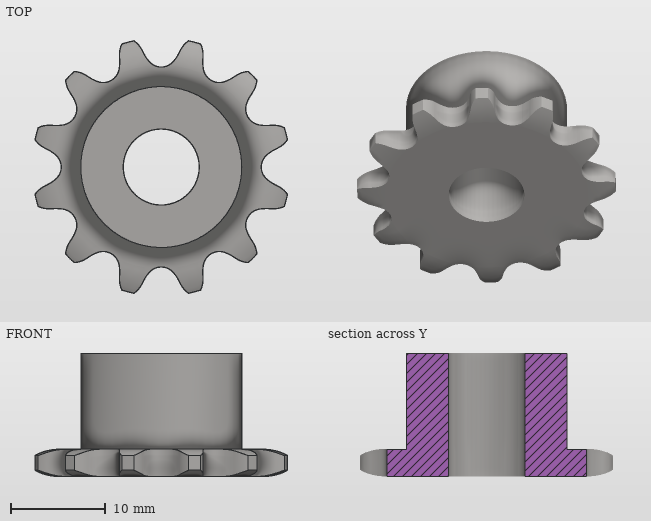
import cadquery as cq
import math


pitch = 6.35
roller_diameter = 3.302
tooth_count = 12
seat_clearance = 0.0381

tip_diameter = 27.3
plate_thickness = 2.9
overall_height = 13.0
hub_diameter = 17.0
bore_diameter = 8.0

side_round_radius = 6.5
side_round_start_diameter = 21.5

half_step = 180 / tooth_count
pitch_radius = pitch / 2 / math.sin(math.radians(half_step))
seat_radius = 0.5025 * roller_diameter + seat_clearance
seat_end_angle = 35 + 60 / tooth_count
working_sweep = 18 - 56 / tooth_count
working_offset = 0.8 * roller_diameter
working_radius = seat_radius + working_offset
topping_slope = 17 - 64 / tooth_count
topping_offset = 1.4 * roller_diameter
topping_radius = (
    working_offset * math.cos(math.radians(working_sweep))
    + topping_offset * math.cos(math.radians(topping_slope))
    - working_radius
)
point_height = math.sqrt(topping_radius**2 - (topping_offset - pitch / 2) ** 2)
point_radius = pitch_radius * math.cos(math.radians(half_step)) + point_height


def polar(center, radius, angle):
    """Point at a radius and angle (degrees from +X) about a center."""
    a = math.radians(angle)
    return (center[0] + radius * math.cos(a), center[1] + radius * math.sin(a))


def flank_points():
    """Right flank of the gap on +Y, from the gap bottom up to the tooth point."""
    seat_center = (0, pitch_radius)
    working_center = polar(seat_center, working_offset, 180 - seat_end_angle)
    topping_center = polar(seat_center, topping_offset, -half_step)

    working_start = -seat_end_angle
    working_end = working_start + working_sweep
    topping_start = working_end + 180
    point = polar((0, 0), point_radius, 90 - half_step)
    topping_end = math.degrees(math.atan2(point[1] - topping_center[1], point[0] - topping_center[0]))

    return {
        "bottom": polar(seat_center, seat_radius, -90),
        "seat_end": polar(seat_center, seat_radius, working_start),
        "working_mid": polar(working_center, working_radius, (working_start + working_end) / 2),
        "working_end": polar(working_center, working_radius, working_end),
        "topping_start": polar(topping_center, topping_radius, topping_start),
        "topping_mid": polar(topping_center, topping_radius, (topping_start + topping_end) / 2),
        "point": point,
    }


def mirrored(p):
    """Point reflected across the gap centreline."""
    return (-p[0], p[1])


def turned(p, angle):
    """Point turned clockwise about the sprocket axis."""
    a = math.radians(angle)
    return (
        p[0] * math.cos(a) + p[1] * math.sin(a),
        p[1] * math.cos(a) - p[0] * math.sin(a),
    )


def toothed_prism():
    """Full-thickness prism whose teeth run out to sharp points."""
    right = flank_points()
    left = {name: mirrored(p) for name, p in right.items()}
    outline = cq.Workplane("XY").moveTo(*left["point"])
    for i in range(tooth_count):
        angle = i * 2 * half_step

        def at(side, name):
            return turned(side[name], angle)

        outline = (
            outline
            .threePointArc(at(left, "topping_mid"), at(left, "topping_start"))
            .lineTo(*at(left, "working_end"))
            .threePointArc(at(left, "working_mid"), at(left, "seat_end"))
            .threePointArc(at(right, "bottom"), at(right, "seat_end"))
            .threePointArc(at(right, "working_mid"), at(right, "working_end"))
            .lineTo(*at(right, "topping_start"))
            .threePointArc(at(right, "topping_mid"), at(right, "point"))
        )
    return outline.close().extrude(plate_thickness)


def rounded_disc():
    """Disc whose two rim sides curve in towards the tip diameter."""
    start = side_round_start_diameter / 2
    tip = tip_diameter / 2

    def side_drop(radius):
        return side_round_radius - math.sqrt(side_round_radius**2 - (radius - start) ** 2)

    mid = (start + tip) / 2
    return (
        cq.Workplane("XZ")
        .lineTo(start, 0)
        .threePointArc((mid, side_drop(mid)), (tip, side_drop(tip)))
        .lineTo(tip, plate_thickness - side_drop(tip))
        .threePointArc((mid, plate_thickness - side_drop(mid)), (start, plate_thickness))
        .lineTo(0, plate_thickness)
        .close()
        .revolve(360, (0, 0, 0), (0, 1, 0))
    )


def hub():
    return cq.Workplane("XY").circle(hub_diameter / 2).extrude(overall_height)


def bore():
    return cq.Workplane("XY").circle(bore_diameter / 2).extrude(overall_height)


result = toothed_prism().intersect(rounded_disc()).union(hub()).cut(bore())